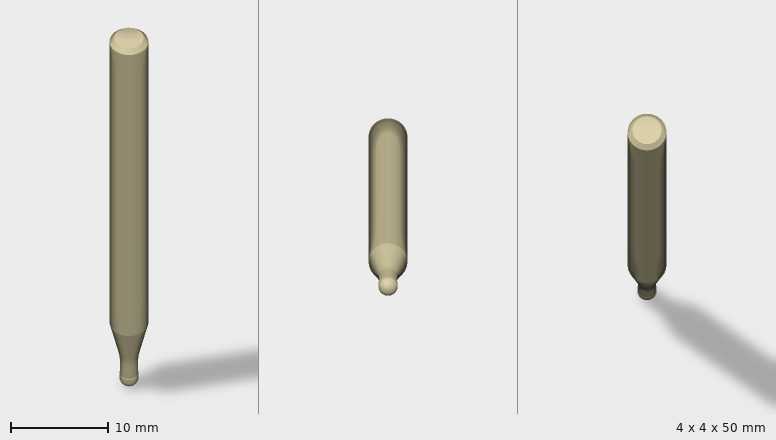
import cadquery as cq
import math

total_length = 50.0
shank_radius = 2.0
rear_chamfer = 0.5
shank_bottom = 8.85

ball_radius = 1.0
ball_end_length = 1.5

neck_radius = 0.95
relief_height = 0.1
neck_corner = 4.05
blend_tangent = 0.6

cone_angle = math.atan((shank_radius - neck_radius) / (shank_bottom - neck_corner))
blend_radius = blend_tangent / math.tan(cone_angle / 2)
blend_bottom = neck_corner - blend_tangent
blend_angle_at_joint = math.asin(blend_tangent / blend_radius)


def blend_point(angle):
    """Profile point on the blend, with the angle measured from its neck end."""
    return (
        neck_radius + blend_radius * (1 - math.cos(angle)),
        blend_bottom + blend_radius * math.sin(angle),
    )


def turn(profile):
    """Revolve a closed radius-height profile about the Z axis."""
    return profile.revolve(360, (0, 0), (0, 1))


def make_cutting_tip():
    """Ball end, relieved neck and the lower part of the blend."""
    ball_mid = ball_radius * math.sin(math.pi / 4)
    profile = (
        cq.Workplane("XZ")
        .moveTo(0, 0)
        .threePointArc((ball_mid, ball_radius - ball_mid), (ball_radius, ball_radius))
        .lineTo(ball_radius, ball_end_length)
        .lineTo(neck_radius, ball_end_length + relief_height)
        .lineTo(neck_radius, blend_bottom)
        .threePointArc(blend_point(blend_angle_at_joint / 2), blend_point(blend_angle_at_joint))
        .lineTo(0, neck_corner)
        .close()
    )
    return turn(profile)


def make_shank():
    """Upper part of the blend, cone and cylinder with a chamfered rear end."""
    blend_middle_angle = (blend_angle_at_joint + cone_angle) / 2
    profile = (
        cq.Workplane("XZ")
        .moveTo(0, neck_corner)
        .lineTo(*blend_point(blend_angle_at_joint))
        .threePointArc(blend_point(blend_middle_angle), blend_point(cone_angle))
        .lineTo(shank_radius, shank_bottom)
        .lineTo(shank_radius, total_length - rear_chamfer)
        .lineTo(shank_radius - rear_chamfer, total_length)
        .lineTo(0, total_length)
        .close()
    )
    return turn(profile)


cutting_tip = make_cutting_tip()
shank = make_shank()

result = cq.Compound.makeCompound([cutting_tip.val(), shank.val()])